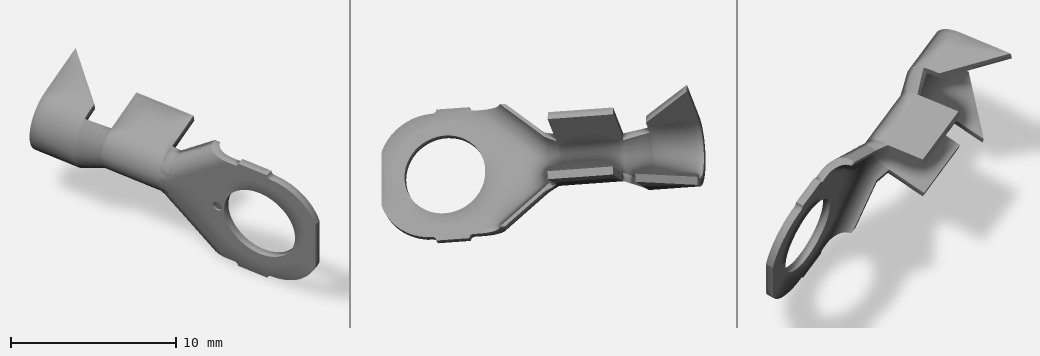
import cadquery as cq
import math

thickness = 0.5

insulation_end = 3.17
barrel_start = 4.72
barrel_end = 8.75
neck_end = 9.56
overall_length = 19.84

leg_flare = 12.0
insulation_radius = 2.28
insulation_bottom = -0.52
insulation_tip_height = 4.92
wire_radius = 1.57
wire_bottom = 0.0
wire_tip_height = 4.19
half_bottom = 90.0 - leg_flare
insulation_trough_half_angle = 62.0
neck_leg_height = 1.69
neck_flat_half_width = 0.81

wing_angle = 40.0
bend_line_half_width = 0.55
bend_radius = 1.03
wing_height = 1.39
wing_edge_thickness = 0.22
inner_bend_radius = wing_height - thickness
wing_corner_radius = 0.12

ring_half_width = 3.97
ring_hole_radius = 2.5
ring_hole_x = 15.91
nose_radius = 3.37
nose_start_x = 16.67
nose_flat_half_width = 1.73
tab_start = 14.4
tab_end = 16.45
tab_half_width = 4.216
tab_fillet = tab_half_width - ring_half_width
dimple_x = 12.94
dimple_radius = 0.32
dimple_depth = 0.14

diagonal = math.sqrt(0.5)


def cross_section(x):
    """Plane across the part: local x is Y, local y is Z, normal is +X."""
    return cq.Workplane("YZ", origin=(x, 0, 0))


def polar(radius, bottom, angle, inset=0.0):
    """Point on a barrel wall, with the angle measured from the bottom toward +Z."""
    reach = radius - inset
    turn = math.radians(angle)
    return (bottom + radius - reach * math.cos(turn), reach * math.sin(turn))


def along_leg(radius, bottom, height, inset=0.0):
    """Point on a flared leg, reached from its tangent point, where the outer face is at the given height."""
    flare = math.radians(leg_flare)
    tangent = polar(radius, bottom, half_bottom)
    length = (height - tangent[0]) / math.cos(flare)
    foot = polar(radius, bottom, half_bottom, inset)
    return (foot[0] + length * math.cos(flare), foot[1] + length * math.sin(flare))


def mirrored(point):
    return (point[0], -point[1])


def trough(x, radius, bottom, half_angle):
    """Closed arc-shaped strip of sheet, centred on the bottom of a barrel."""
    outer = polar(radius, bottom, half_angle)
    inner = polar(radius, bottom, half_angle, thickness)
    return (
        cross_section(x)
        .moveTo(*mirrored(outer))
        .threePointArc((bottom, 0), outer)
        .lineTo(*inner)
        .threePointArc((bottom + thickness, 0), mirrored(inner))
        .close()
    )


def open_barrel(x, radius, bottom, tip_height, length):
    """Trough with both flared legs, extruded along X."""
    outer = polar(radius, bottom, half_bottom)
    inner = polar(radius, bottom, half_bottom, thickness)
    outer_tip = along_leg(radius, bottom, tip_height)
    inner_tip = along_leg(radius, bottom, tip_height, thickness)
    return (
        cross_section(x)
        .moveTo(*mirrored(outer_tip))
        .lineTo(*mirrored(outer))
        .threePointArc((bottom, 0), outer)
        .lineTo(*outer_tip)
        .lineTo(*inner_tip)
        .lineTo(*inner)
        .threePointArc((bottom + thickness, 0), mirrored(inner))
        .lineTo(*mirrored(inner_tip))
        .close()
        .extrude(length)
    )


def loft(first, second):
    """Solid with straight rulings between two closed sections."""
    return cq.Workplane(cq.Solid.makeLoft([first.val(), second.val()], True))


def insulation_barrel():
    """Insulation barrel whose legs are cut at 45 degrees into opposed pointed tongues."""
    barrel = open_barrel(0, insulation_radius, insulation_bottom, insulation_tip_height, insulation_end)
    tip = along_leg(insulation_radius, insulation_bottom, insulation_tip_height)
    cut_depth = 2 * thickness
    flare = math.radians(leg_flare)
    for side in (1, -1):
        plane = cq.Plane(
            origin=(0, tip[0], side * tip[1]),
            xDir=(1, 0, 0),
            normal=(0, -side * math.sin(flare), math.cos(flare)),
        )
        point_x = 0 if side > 0 else insulation_end
        base_x = insulation_end - point_x
        cutter = (
            cq.Workplane(plane)
            .polyline([(point_x, 0), (base_x, 0), (base_x, -insulation_end)])
            .close()
            .extrude(cut_depth, both=True)
        )
        barrel = barrel.cut(cutter)
    return barrel


def barrel_transition():
    """Tapered trough that joins the two barrels."""
    wide = trough(insulation_end, insulation_radius, insulation_bottom, insulation_trough_half_angle)
    narrow = trough(barrel_start, wire_radius, wire_bottom, half_bottom)
    return loft(wide, narrow)


def neck_start():
    """Open barrel section with short legs, split where the neck flattens out."""
    def outer(angle):
        return polar(wire_radius, wire_bottom, angle)

    def inner(angle):
        return polar(wire_radius, wire_bottom, angle, thickness)

    outer_tip = along_leg(wire_radius, wire_bottom, neck_leg_height)
    inner_tip = along_leg(wire_radius, wire_bottom, neck_leg_height, thickness)
    split = math.degrees(math.asin(neck_flat_half_width / wire_radius))
    middle = (split + half_bottom) / 2
    return (
        cross_section(barrel_end)
        .moveTo(*mirrored(outer_tip))
        .lineTo(*mirrored(outer(half_bottom)))
        .threePointArc(mirrored(outer(middle)), mirrored(outer(split)))
        .threePointArc(outer(0), outer(split))
        .threePointArc(outer(middle), outer(half_bottom))
        .lineTo(*outer_tip)
        .lineTo(*inner_tip)
        .lineTo(*inner(half_bottom))
        .threePointArc(inner(middle), inner(split))
        .threePointArc(inner(0), mirrored(inner(split)))
        .threePointArc(mirrored(inner(middle)), mirrored(inner(half_bottom)))
        .lineTo(*mirrored(inner_tip))
        .close()
    )


def neck_finish():
    """Flat-bottomed section that meets the two diverging wings."""
    stretch = 1 / math.cos(math.radians(wing_angle))
    half_width = bend_line_half_width + bend_radius * stretch
    inner_split = 60
    inner_upper = (inner_split + 90) / 2
    inner_lower = inner_split / 2
    inner_flat = half_width - (wing_edge_thickness + inner_bend_radius) * stretch

    def outer(angle):
        turn = math.radians(angle)
        return (
            bend_radius * (1 - math.cos(turn)),
            bend_line_half_width + bend_radius * stretch * math.sin(turn),
        )

    def inner(angle):
        turn = math.radians(angle)
        return (
            wing_height - inner_bend_radius * math.cos(turn),
            inner_flat + inner_bend_radius * stretch * math.sin(turn),
        )

    return (
        cross_section(neck_end)
        .moveTo(wing_height, -half_width)
        .lineTo(*mirrored(outer(90)))
        .threePointArc(mirrored(outer(45)), mirrored(outer(0)))
        .lineTo(*outer(0))
        .threePointArc(outer(45), outer(90))
        .lineTo(wing_height, half_width)
        .lineTo(*inner(90))
        .threePointArc(inner(inner_upper), inner(inner_split))
        .threePointArc(inner(inner_lower), inner(0))
        .lineTo(*mirrored(inner(0)))
        .threePointArc(mirrored(inner(inner_lower)), mirrored(inner(inner_split)))
        .threePointArc(mirrored(inner(inner_upper)), mirrored(inner(90)))
        .close()
    )


def wings():
    """Two curled strips along the bend lines, trimmed flush with the neck and the ring sides."""
    direction = math.radians(wing_angle)
    lead_in = 2 * bend_radius
    inner_reach = wing_edge_thickness + inner_bend_radius
    plane = cq.Plane(
        origin=(neck_end, 0, bend_line_half_width),
        xDir=(math.sin(direction), 0, -math.cos(direction)),
        normal=(math.cos(direction), 0, math.sin(direction)),
    )
    wing = (
        cq.Workplane(plane)
        .workplane(offset=-lead_in)
        .moveTo(inner_reach - bend_radius, 0)
        .lineTo(0, 0)
        .threePointArc(
            (-bend_radius * diagonal, bend_radius * (1 - diagonal)),
            (-bend_radius, bend_radius),
        )
        .lineTo(-bend_radius, wing_height)
        .lineTo(wing_edge_thickness - bend_radius, wing_height)
        .threePointArc(
            (
                inner_reach - bend_radius - inner_bend_radius * diagonal,
                wing_height - inner_bend_radius * diagonal,
            ),
            (inner_reach - bend_radius, thickness),
        )
        .close()
        .extrude(lead_in + 2 * ring_half_width)
    )
    envelope = (
        cq.Workplane("XY")
        .box(ring_hole_x - neck_end, wing_height, 2 * ring_half_width, centered=(False, False, True))
        .translate((neck_end, 0, 0))
        .edges("|X and >Y")
        .fillet(wing_corner_radius)
    )
    wing = wing.intersect(envelope)
    return wing.union(wing.mirror("XY"))


def plate(sketch):
    """Sheet lying between Y = 0 and the sheet thickness, from an outline drawn in X and Z."""
    return sketch.extrude(-thickness)


def ring_tongue():
    """Flat ring with side tabs, a clipped round nose, the stud hole and a locating dimple."""
    bend_length = (ring_half_width - bend_line_half_width) / math.tan(math.radians(wing_angle))
    nose_centre_z = ring_half_width - nose_radius
    nose_middle = (nose_start_x + nose_radius * diagonal, nose_centre_z + nose_radius * diagonal)
    front = cq.Workplane("XZ")
    blank = plate(
        front.moveTo(neck_end, -bend_line_half_width)
        .lineTo(neck_end + bend_length, -ring_half_width)
        .lineTo(nose_start_x, -ring_half_width)
        .threePointArc(mirrored(nose_middle), (overall_length, -nose_flat_half_width))
        .lineTo(overall_length, nose_flat_half_width)
        .threePointArc(nose_middle, (nose_start_x, ring_half_width))
        .lineTo(neck_end + bend_length, ring_half_width)
        .lineTo(neck_end, bend_line_half_width)
        .close()
    )
    tab = plate(
        front.moveTo(tab_start - tab_fillet, ring_half_width)
        .radiusArc((tab_start, tab_half_width), -tab_fillet)
        .lineTo(tab_end, tab_half_width)
        .radiusArc((tab_end + tab_fillet, ring_half_width), -tab_fillet)
        .lineTo(tab_end, 0)
        .lineTo(tab_start, 0)
        .close()
    )
    stud_hole = plate(front.center(ring_hole_x, 0).circle(ring_hole_radius))
    dimple = front.center(dimple_x, 0).circle(dimple_radius).extrude(-dimple_depth)
    return blank.union(tab).union(tab.mirror("XY")).cut(stud_hole).cut(dimple)


wire_barrel = open_barrel(
    barrel_start, wire_radius, wire_bottom, wire_tip_height, barrel_end - barrel_start)
result = (
    insulation_barrel()
    .union(barrel_transition())
    .union(wire_barrel)
    .union(loft(neck_start(), neck_finish()))
    .union(wings().union(ring_tongue()))
)